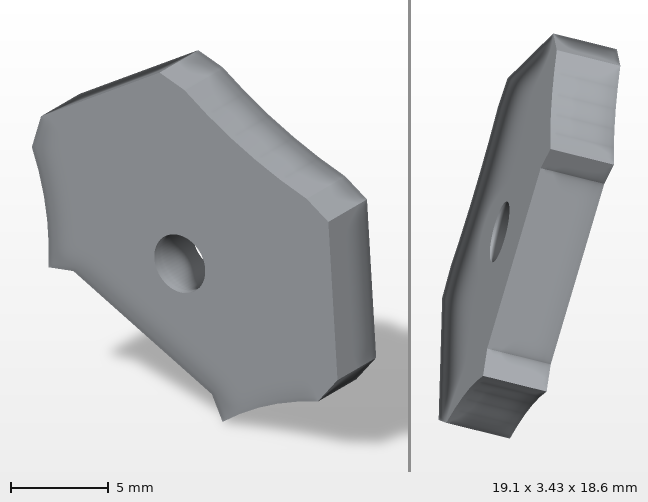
import cadquery as cq

thickness = 3.43
bore_diameter = 3.2

top_tip = (-1.26, 10.4)
top_bevel_end = (0.23, 9.85)
top_hollow_start = (0.3, 9.8)
top_hollow_middle = (5.32, 6.78)
top_hollow_end = (7.95, 5.7)
right_upper_tip = (9.3, 4.77)
right_lower_tip = (9.88, -3.96)
lower_hollow_start = (8.64, -5.5)
lower_hollow_middle = (6.57, -6.09)
bottom_tip = (2.68, -8.18)
bottom_notch = (2.01, -6.8)
left_notch = (-6.66, -2.15)
left_lower_tip = (-8.23, -2.34)
left_hollow_middle = (-8.64, 2.15)
left_hollow_end = (-9.27, 4.14)
left_upper_tip = (-8.7, 6.01)

outline = (
    cq.Workplane("XZ", origin=(0, thickness / 2, 0))
    .moveTo(*top_tip)
    .lineTo(*top_bevel_end)
    .lineTo(*top_hollow_start)
    .threePointArc(top_hollow_middle, top_hollow_end)
    .lineTo(*right_upper_tip)
    .lineTo(*right_lower_tip)
    .lineTo(*lower_hollow_start)
    .threePointArc(lower_hollow_middle, bottom_tip)
    .lineTo(*bottom_notch)
    .lineTo(*left_notch)
    .lineTo(*left_lower_tip)
    .threePointArc(left_hollow_middle, left_hollow_end)
    .lineTo(*left_upper_tip)
    .close()
)
plate = outline.extrude(thickness)

result = plate.faces("<Y").workplane(origin=(0, 0, 0)).hole(bore_diameter)